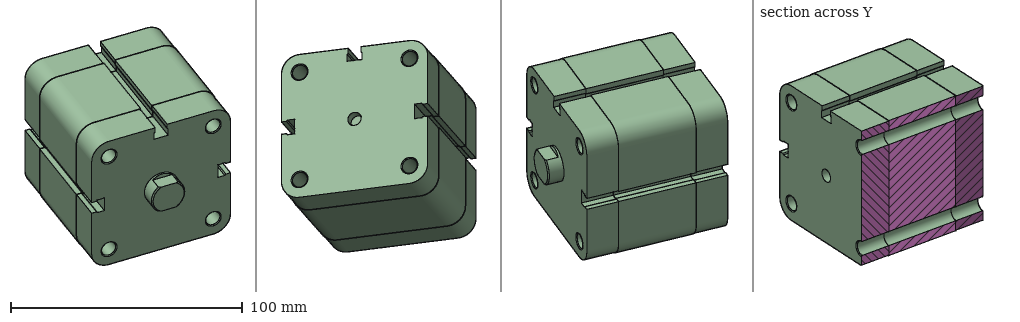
import cadquery as cq

total_length = 73.5
cap_length = 14.85
barrel_length = 36.4
rod_start = 2 * cap_length + barrel_length

barrel_side = 67.0
hole_spacing = 50.0
barrel_corner_radius = (barrel_side - hole_spacing) / 2

cap_inset = 0.2

slot_mouth_width = 5.3
slot_width = 6.3
slot_mouth_depth = 2.7
slot_depth = 6.0
slot_angles = (-90, 0, 90)

hole_diameter = 6.75
hole_chamfer = 0.45

centring_diameter = 6.0
centring_depth = 4.4

rod_diameter = 16.0
rod_chamfer = 0.6
across_flats = 13.0
flat_start = rod_start + 1.3
flat_run_out = 0.45


def slot_cutter(side, inset, x_start, length):
    """Stepped slot opening on the +Z face, with its walls moved outward by the inset."""
    top = side / 2
    mouth_half = slot_mouth_width / 2 + inset
    inner_half = slot_width / 2 + inset
    step = barrel_side / 2 - slot_mouth_depth + inset
    step_slope = inner_half - mouth_half
    floor = barrel_side / 2 - slot_depth - inset
    return (
        cq.Workplane("YZ", origin=(x_start, 0, 0))
        .moveTo(-mouth_half, top)
        .lineTo(mouth_half, top)
        .lineTo(mouth_half, step)
        .lineTo(inner_half, step - step_slope)
        .lineTo(inner_half, floor)
        .lineTo(-inner_half, floor)
        .lineTo(-inner_half, step - step_slope)
        .lineTo(-mouth_half, step)
        .close()
        .extrude(length)
    )


def slotted_block(x_start, length, inset):
    """Rounded square block with three slots and four corner holes, all running along X."""
    side = barrel_side - 2 * inset
    block = (
        cq.Workplane("YZ", origin=(x_start, 0, 0))
        .rect(side, side)
        .extrude(length)
        .edges("|X")
        .fillet(barrel_corner_radius - inset)
    )
    cutter = slot_cutter(side, inset, x_start, length)
    for angle in slot_angles:
        block = block.cut(cutter.rotate((0, 0, 0), (1, 0, 0), angle))
    holes = (
        cq.Workplane("YZ", origin=(x_start, 0, 0))
        .rect(hole_spacing, hole_spacing, forConstruction=True)
        .vertices()
        .circle(hole_diameter / 2)
        .extrude(length)
    )
    return block.cut(holes)


def chamfer_holes(cap, face):
    """Chamfer the four corner holes where they open on the given cap face."""
    hole_rims = cq.selectors.RadiusNthSelector(0)
    return cap.faces(face).edges("%CIRCLE").edges(hole_rims).chamfer(hole_chamfer)


def make_barrel():
    return slotted_block(cap_length, barrel_length, 0)


def make_rear_cap():
    cap = slotted_block(0, cap_length, cap_inset)
    cap = chamfer_holes(cap, "<X")
    centring_hole = cq.Workplane("YZ").circle(centring_diameter / 2).extrude(centring_depth)
    return cap.cut(centring_hole)


def make_front_cap():
    cap = slotted_block(cap_length + barrel_length, cap_length, cap_inset)
    return chamfer_holes(cap, ">X")


def make_rod():
    """Chamfered rod end standing on the front cap, with flats that run out in a slope on +Z and -Z."""
    rod = (
        cq.Workplane("YZ", origin=(rod_start, 0, 0))
        .circle(rod_diameter / 2)
        .extrude(total_length - rod_start)
        .faces(">X")
        .chamfer(rod_chamfer)
    )
    flat_height = across_flats / 2
    rim_height = rod_diameter / 2
    cutter = (
        cq.Workplane("XZ")
        .moveTo(flat_start, flat_height)
        .lineTo(total_length, flat_height)
        .lineTo(total_length, rim_height)
        .lineTo(flat_start - flat_run_out, rim_height)
        .close()
        .extrude(rod_diameter / 2, both=True)
    )
    return rod.cut(cutter).cut(cutter.mirror("XY"))


barrel = make_barrel()
rear_cap = make_rear_cap()
front_cap = make_front_cap()
rod = make_rod()

result = cq.Compound.makeCompound(
    [barrel.val(), rear_cap.val(), front_cap.val(), rod.val()]
)